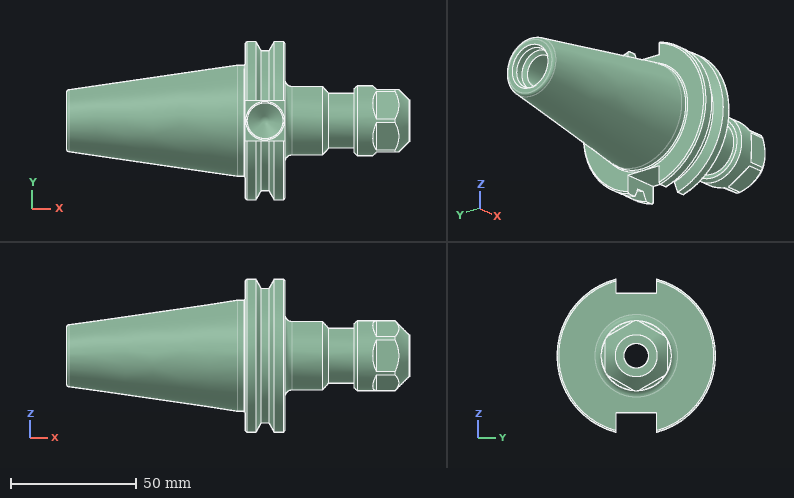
import cadquery as cq
import math

TAPER_END = 68.4
FLANGE_START = 71.4
FLANGE_END = 87.4
COLLAR_END = 102.3
NECK_START = 104.8
NUT_START = 114.8
HEX_START = 123.9
LENGTH = 137.4

GAUGE_DIAMETER = 44.5
TAPER_RATIO = 7 / 24
TAPER_EDGE_ROUND = 1.2
TAPER_FOOT_FILLET = 0.5

FLANGE_DIAMETER = 63.3
FLANGE_CHAMFER = 0.7
GROOVE_DIAMETER = 56.2
GROOVE_FLOOR_WIDTH = 3.2
GROOVE_CENTER = 79.4
GROOVE_SIDE_ANGLE = 30.0

SLOT_WIDTH = 16.1
UPPER_SLOT_FLOOR = 25.0
LOWER_SLOT_FLOOR = 22.8
DIMPLE_DIAMETER = 14.3
DIMPLE_RIM_CHAMFER = 0.5
DIMPLE_DEPTH = 2.5
DRILL_POINT_ANGLE = 118.0

COLLAR_DIAMETER = 27.5
COLLAR_FILLET = 2.7
NECK_DIAMETER = 22.0

ENTRY_DIAMETER = 18.4
ENTRY_DEPTH = 1.8
THREAD_RELIEF_DIAMETER = 16.8
THREAD_RELIEF_DEPTH = 5.1
CORE_START = 6.5
CORE_DIAMETER = 13.3
CORE_END = 30.2
THROUGH_DIAMETER = 9.8

NUT_DIAMETER = 28.0
NUT_REAR_CHAMFER = 1.4
NUT_TIP_DIAMETER = 16.8
NUT_TIP_LAND = 0.4
HEX_ACROSS_FLATS = 25.0
HEX_SIDES = 6


def revolve_about_x(profile):
    """Revolve a closed (x, radius) profile a full turn about the X axis."""
    return profile.close().revolve(360, (0, 0, 0), (1, 0, 0))


def cylinder_along_x(diameter, start, end):
    return cq.Workplane("YZ", origin=(start, 0, 0)).circle(diameter / 2).extrude(end - start)


def taper_shank():
    gauge_radius = GAUGE_DIAMETER / 2
    small_radius = gauge_radius - TAPER_END * TAPER_RATIO / 2
    foot_radius = gauge_radius + TAPER_FOOT_FILLET
    arc_offset = TAPER_FOOT_FILLET * (1 - math.sqrt(0.5))
    shank = revolve_about_x(
        cq.Workplane("XY")
        .lineTo(0, small_radius)
        .lineTo(TAPER_END, gauge_radius)
        .lineTo(FLANGE_START - TAPER_FOOT_FILLET, gauge_radius)
        .threePointArc(
            (FLANGE_START - arc_offset, gauge_radius + arc_offset),
            (FLANGE_START, foot_radius),
        )
        .lineTo(FLANGE_START, 0)
    )
    return shank.faces("<X").edges().fillet(TAPER_EDGE_ROUND)


def grooved_flange():
    flange = cylinder_along_x(FLANGE_DIAMETER, FLANGE_START, FLANGE_END)
    flange = flange.faces("<X or >X").edges().chamfer(FLANGE_CHAMFER)
    rim_radius = FLANGE_DIAMETER / 2
    floor_radius = GROOVE_DIAMETER / 2
    half_floor = GROOVE_FLOOR_WIDTH / 2
    half_mouth = half_floor + (rim_radius - floor_radius) * math.tan(math.radians(GROOVE_SIDE_ANGLE))
    groove = revolve_about_x(
        cq.Workplane("XY")
        .moveTo(GROOVE_CENTER - half_mouth, rim_radius)
        .lineTo(GROOVE_CENTER - half_floor, floor_radius)
        .lineTo(GROOVE_CENTER + half_floor, floor_radius)
        .lineTo(GROOVE_CENTER + half_mouth, rim_radius)
    )
    return flange.cut(groove)


def collar_and_neck():
    collar_radius = COLLAR_DIAMETER / 2
    neck_radius = NECK_DIAMETER / 2
    foot_radius = collar_radius + COLLAR_FILLET
    arc_offset = COLLAR_FILLET * (1 - math.sqrt(0.5))
    return revolve_about_x(
        cq.Workplane("XY")
        .moveTo(FLANGE_END, 0)
        .lineTo(FLANGE_END, foot_radius)
        .threePointArc(
            (FLANGE_END + arc_offset, collar_radius + arc_offset),
            (FLANGE_END + COLLAR_FILLET, collar_radius),
        )
        .lineTo(COLLAR_END, collar_radius)
        .lineTo(NECK_START, neck_radius)
        .lineTo(NUT_START, neck_radius)
        .lineTo(NUT_START, 0)
    )


def drive_slot(floor, side):
    """Slot across the flange; side is +1 for the top and -1 for the bottom."""
    depth = FLANGE_DIAMETER / 2 - floor
    middle = (FLANGE_START + FLANGE_END) / 2
    return cq.Workplane("XY").box(FLANGE_END - FLANGE_START, SLOT_WIDTH, depth).translate(
        (middle, 0, side * (floor + depth / 2))
    )


def slot_dimple():
    """Chamfered drilled hole with a conical bottom in the upper slot floor."""
    radius = DIMPLE_DIAMETER / 2
    wall_bottom = UPPER_SLOT_FLOOR - DIMPLE_DEPTH
    point = wall_bottom - radius / math.tan(math.radians(DRILL_POINT_ANGLE / 2))
    dimple = (
        cq.Workplane("XZ")
        .moveTo(0, UPPER_SLOT_FLOOR)
        .lineTo(radius + DIMPLE_RIM_CHAMFER, UPPER_SLOT_FLOOR)
        .lineTo(radius, UPPER_SLOT_FLOOR - DIMPLE_RIM_CHAMFER)
        .lineTo(radius, wall_bottom)
        .lineTo(0, point)
        .close()
        .revolve(360, (0, 0, 0), (0, 1, 0))
    )
    return dimple.translate(((FLANGE_START + FLANGE_END) / 2, 0, 0))


def stepped_bore():
    """Countersunk draw-bar bore, narrowing by cones to the through hole."""
    core_radius = CORE_DIAMETER / 2
    through_radius = THROUGH_DIAMETER / 2
    point_length = (core_radius - through_radius) / math.tan(math.radians(DRILL_POINT_ANGLE / 2))
    return revolve_about_x(
        cq.Workplane("XY")
        .lineTo(0, ENTRY_DIAMETER / 2)
        .lineTo(ENTRY_DEPTH, THREAD_RELIEF_DIAMETER / 2)
        .lineTo(THREAD_RELIEF_DEPTH, THREAD_RELIEF_DIAMETER / 2)
        .lineTo(CORE_START, core_radius)
        .lineTo(CORE_END, core_radius)
        .lineTo(CORE_END + point_length, through_radius)
        .lineTo(NUT_START, through_radius)
        .lineTo(NUT_START, 0)
    )


def make_holder():
    holder = taper_shank().union(grooved_flange()).union(collar_and_neck())
    holder = holder.cut(drive_slot(UPPER_SLOT_FLOOR, 1))
    holder = holder.cut(drive_slot(LOWER_SLOT_FLOOR, -1))
    holder = holder.cut(slot_dimple())
    holder = holder.cut(stepped_bore())
    return holder


def hex_flat_cutter():
    """Cutter for the +Z wrench flat, with a 45 degree run-out at its rear."""
    flat_height = HEX_ACROSS_FLATS / 2
    cut_depth = NUT_DIAMETER / 2 - flat_height
    return (
        cq.Workplane("XZ")
        .moveTo(HEX_START - cut_depth, flat_height + cut_depth)
        .lineTo(HEX_START, flat_height)
        .lineTo(LENGTH, flat_height)
        .lineTo(LENGTH, flat_height + cut_depth)
        .close()
        .extrude(NUT_DIAMETER / 2, both=True)
    )


def make_nut():
    nut_radius = NUT_DIAMETER / 2
    bore_radius = THROUGH_DIAMETER / 2
    tip_radius = NUT_TIP_DIAMETER / 2
    cone_end = LENGTH - NUT_TIP_LAND
    cone_start = cone_end - (nut_radius - tip_radius)
    nut = revolve_about_x(
        cq.Workplane("XY")
        .moveTo(NUT_START, bore_radius)
        .lineTo(NUT_START, nut_radius - NUT_REAR_CHAMFER)
        .lineTo(NUT_START + NUT_REAR_CHAMFER, nut_radius)
        .lineTo(cone_start, nut_radius)
        .lineTo(cone_end, tip_radius)
        .lineTo(LENGTH, tip_radius)
        .lineTo(LENGTH, bore_radius)
    )
    first_flat_angle = 360 / HEX_SIDES / 2
    for side in range(HEX_SIDES):
        angle = first_flat_angle + side * 360 / HEX_SIDES
        nut = nut.cut(hex_flat_cutter().rotate((0, 0, 0), (1, 0, 0), angle))
    return nut


holder = make_holder()
nut = make_nut()
result = cq.Compound.makeCompound([holder.val(), nut.val()])